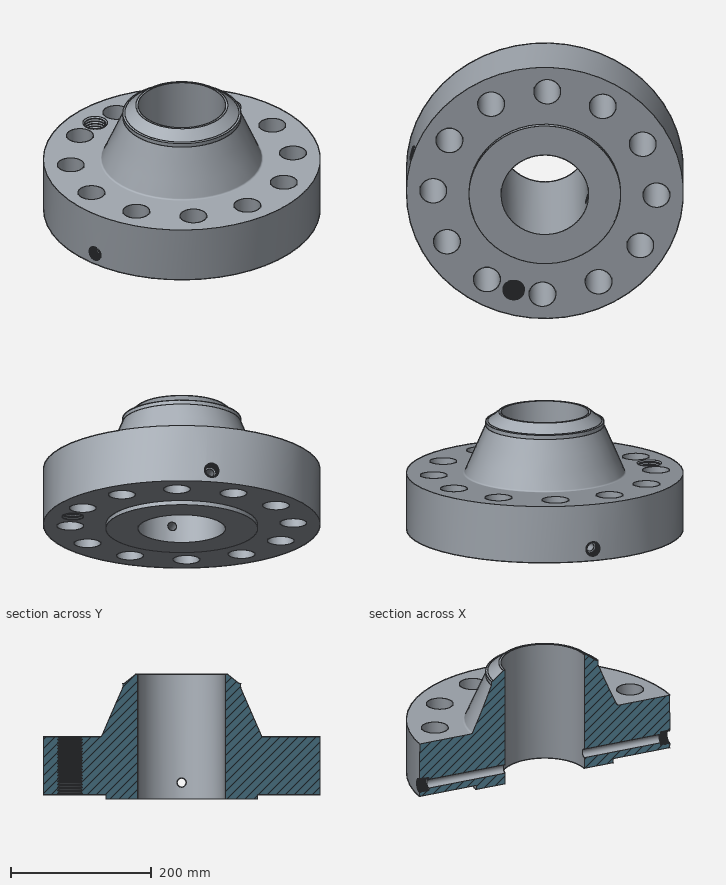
import cadquery as cq
import math

flange_diameter = 393.7
flange_thickness = 82.5
face_diameter = 215.7
face_height = 6.3
total_height = 178.0
bore_diameter = 124.5

hub_base_diameter = 228.7
hub_fillet_radius = 3.05
weld_diameter = 168.0
weld_band_bottom = 158.5
weld_band_top = 164.5
bevel_base_diameter = 162.2
bevel_base_height = 165.5
land_diameter = 130.7

bolt_count = 12
bolt_circle_diameter = 317.5
bolt_hole_diameter = 38.0

jack_major_diameter = 35.0
jack_thread_depth = 2.5
jack_thread_turns = 19.5
jack_pitch = flange_thickness / jack_thread_turns
jack_crest_flat = 0.25

tap_axis_height = 23.5
tap_major_diameter = 21.3
tap_thread_depth = 1.45
tap_pitch = 1.8
tap_thread_turns = 8
tap_taper = 1 / 16
tap_drill_diameter = 12.5

cutter_overrun = 4.0
flange_radius = flange_diameter / 2
flange_top = face_height + flange_thickness


def make_body():
    """Revolve the bored flange, raised face and welding neck."""
    bore_radius = bore_diameter / 2
    hub_base_radius = hub_base_diameter / 2
    body = (
        cq.Workplane("XZ")
        .moveTo(bore_radius, 0)
        .lineTo(face_diameter / 2, 0)
        .lineTo(face_diameter / 2, face_height)
        .lineTo(flange_radius, face_height)
        .lineTo(flange_radius, flange_top)
        .lineTo(hub_base_radius, flange_top)
        .lineTo(weld_diameter / 2, weld_band_bottom)
        .lineTo(weld_diameter / 2, weld_band_top)
        .lineTo(bevel_base_diameter / 2, bevel_base_height)
        .lineTo(land_diameter / 2, total_height)
        .lineTo(bore_radius, total_height)
        .close()
        .revolve(360, (0, 0, 0), (0, 1, 0))
    )
    reach = hub_base_radius + hub_fillet_radius
    hub_base_edge = cq.selectors.BoxSelector(
        (-reach, -reach, flange_top - hub_fillet_radius),
        (reach, reach, flange_top + hub_fillet_radius),
        boundingbox=True,
    )
    return body.edges(hub_base_edge).fillet(hub_fillet_radius)


def thread_cutter(major_diameter, thread_depth, pitch, turns, crest_flat=0.0, taper=0.0):
    """Stack of thread rings going down from the XY plane, with a plain stub above it.

    The V grooves have sharp roots; crest_flat is the land between grooves, in pitches.
    """
    points = [(0, cutter_overrun), (major_diameter / 2, cutter_overrun)]

    def add_point(depth, inset):
        points.append(((major_diameter - taper * depth) / 2 - inset, -depth))

    for turn in range(math.ceil(turns)):
        add_point(turn * pitch, 0)
        for crest in sorted({0.5 - crest_flat / 2, 0.5 + crest_flat / 2}):
            add_point((turn + crest) * pitch, thread_depth)
    add_point(math.ceil(turns) * pitch, 0)
    points.append((0, points[-1][1]))
    return cq.Workplane("XZ").polyline(points).close().revolve(360, (0, 0, 0), (0, 1, 0))


def make_bolt_holes():
    """Through holes straddling the X and Y axes."""
    return (
        cq.Workplane("XY")
        .polarArray(bolt_circle_diameter / 2, 180 / bolt_count, 360, bolt_count)
        .circle(bolt_hole_diameter / 2)
        .extrude(flange_top + cutter_overrun)
    )


def make_jack_hole():
    """Thread running through the flange plate on its -X side."""
    cutter = thread_cutter(
        jack_major_diameter,
        jack_thread_depth,
        jack_pitch,
        jack_thread_turns,
        crest_flat=jack_crest_flat,
    )
    return cutter.translate((-bolt_circle_diameter / 2, 0, flange_top))


def make_pressure_tap(side_angle):
    """Tap pointing at the axis from the rim; angle 0 is the -Y side."""
    thread = thread_cutter(
        tap_major_diameter,
        tap_thread_depth,
        tap_pitch,
        tap_thread_turns,
        taper=tap_taper,
    )
    drill = cq.Workplane("XY").circle(tap_drill_diameter / 2).extrude(-flange_radius)
    return (
        thread.union(drill)
        .rotate((0, 0, 0), (1, 0, 0), 90)
        .translate((0, -flange_radius, tap_axis_height))
        .rotate((0, 0, 0), (0, 0, 1), side_angle)
    )


result = make_body().cut(make_bolt_holes()).cut(make_jack_hole())
for side_angle in (0, 180):
    result = result.cut(make_pressure_tap(side_angle))